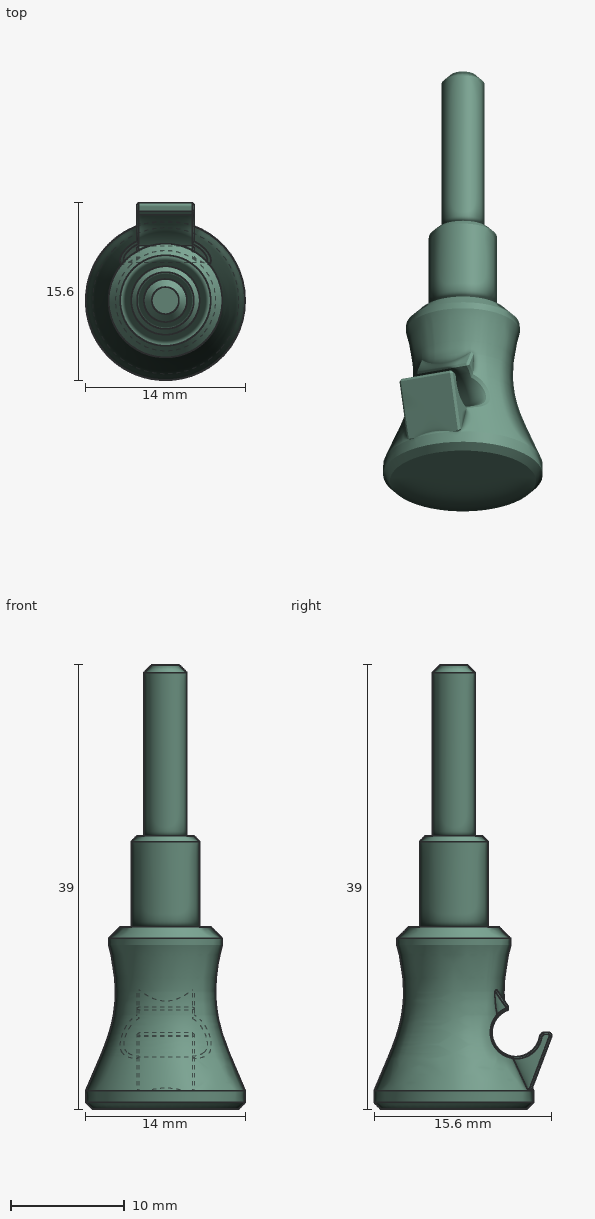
import cadquery as cq

total_height = 39.0
knob_height = 16.0
collar_top = 24.0

base_radius = 14.0 / 2
base_chamfer = 0.6
base_band_top = 1.6
head_radius = 5.0
head_chamfer = 1.0
head_band_bottom = 14.4
waist_stations = [(5.85, 4.3), (4.6, 8.07), (4.5, 11.8)]

collar_radius = 6.0 / 2
collar_chamfer = 0.5
pin_radius = 3.8 / 2
pin_chamfer = 0.7

hook_width = 5.07
hook_reach = 15.6 - base_radius
hook_top = 6.75
hook_root_y = 1.95
hook_bottom = base_band_top
prong_root_y = 6.8
tip_inner_y = 7.5
tip_rounding = 0.35
beak_y = 4.8
beak_bottom = 8.65
beak_top = 8.97
beak_end_y = 3.75
beak_end_height = 10.5
eye_y = 5.45
eye_height = 6.7
eye_radius = 2.1
edge_chamfer = 0.2


def make_knob():
    """Revolve the base, waist and head as one turned profile."""
    profile = (
        cq.Workplane("XZ")
        .lineTo(base_radius - base_chamfer, 0)
        .lineTo(base_radius, base_chamfer)
        .lineTo(base_radius, base_band_top)
        .spline(waist_stations + [(head_radius, head_band_bottom)], includeCurrent=True)
        .lineTo(head_radius, knob_height - head_chamfer)
        .lineTo(head_radius - head_chamfer, knob_height)
        .lineTo(0, knob_height)
        .close()
    )
    return profile.revolve(360, (0, 0, 0), (0, 1, 0))


def make_shaft_step(radius, bottom, top, chamfer):
    """Upright cylinder with a chamfered upper rim."""
    step = cq.Workplane("XY", origin=(0, 0, bottom)).circle(radius).extrude(top - bottom)
    return step.faces(">Z").edges().chamfer(chamfer)


def make_hook(eye):
    """Prong below and beak above the round eye, with beveled side edges."""
    blank = (
        cq.Workplane("YZ")
        .moveTo(hook_root_y, hook_bottom)
        .lineTo(prong_root_y, hook_bottom)
        .lineTo(hook_reach, hook_top - tip_rounding)
        .radiusArc((hook_reach - tip_rounding, hook_top), -tip_rounding)
        .lineTo(tip_inner_y + tip_rounding, hook_top)
        .lineTo(tip_inner_y, hook_top - tip_rounding)
        .lineTo(eye_y, eye_height)
        .lineTo(beak_y, beak_bottom)
        .lineTo(beak_y, beak_top)
        .lineTo(beak_end_y, beak_end_height)
        .lineTo(hook_root_y, beak_end_height)
        .close()
        .extrude(hook_width / 2, both=True)
    )
    return blank.cut(eye).faces("<X or >X").edges().chamfer(edge_chamfer)


eye_cutter = (
    cq.Workplane("YZ")
    .center(eye_y, eye_height)
    .circle(eye_radius)
    .extrude(base_radius, both=True)
)

collar = make_shaft_step(collar_radius, knob_height, collar_top, collar_chamfer)
pin = make_shaft_step(pin_radius, collar_top, total_height, pin_chamfer)
knob = make_knob().cut(eye_cutter)
eye_mouth = cq.selectors.BoxSelector(
    (-base_radius, eye_y - eye_radius - edge_chamfer, 0),
    (base_radius, base_radius, knob_height),
)
knob = knob.faces(eye_mouth).edges().chamfer(edge_chamfer)
result = knob.union(make_hook(eye_cutter)).union(collar).union(pin)